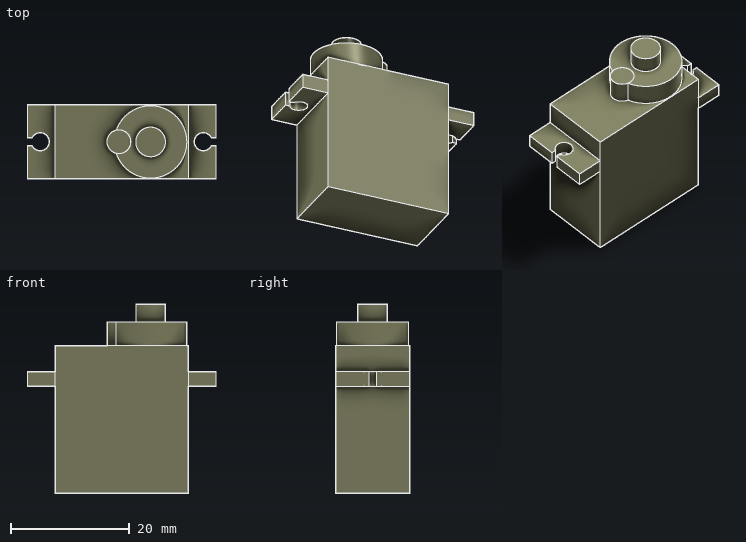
import cadquery as cq


overall_length = 31.8
case_length = 22.42
case_width = 12.5
case_height = 24.88

ear_length = (overall_length - case_length) / 2
ear_thickness = 2.5
ear_bottom = 18.0
screw_hole_diameter = 3.0
screw_hole_inset = 2.17
screw_slot_width = 1.3

housing_diameter = 12.2
housing_height = 4.0
housing_end_gap = 0.25
housing_y = -0.04
housing_x = case_length / 2 - housing_end_gap - housing_diameter / 2
housing_top = case_height + housing_height

boss_diameter = 4.0
boss_offset = 5.34
boss_x = housing_x - boss_offset

shaft_diameter = 5.0
shaft_height = 3.0


def upright_cylinder(diameter, height, x, bottom, y=0):
    """Cylinder along Z with its axis at (x, y)."""
    return cq.Workplane("XY", origin=(x, y, bottom)).circle(diameter / 2).extrude(height)


def make_case():
    return cq.Workplane("XY").box(case_length, case_width, case_height, centered=(True, True, False))


def make_ear(side):
    """Mounting ear on the +X (side = 1) or -X (side = -1) end, with an open keyhole."""
    inner_x = side * case_length / 2
    free_x = inner_x + side * ear_length
    hole_x = free_x - side * screw_hole_inset
    base = cq.Workplane("XY", origin=(0, 0, ear_bottom))
    plate = base.center((inner_x + free_x) / 2, 0).rect(ear_length, case_width).extrude(ear_thickness)
    hole = upright_cylinder(screw_hole_diameter, ear_thickness, hole_x, ear_bottom)
    slot = (
        base.center((hole_x + free_x) / 2, 0)
        .rect(screw_hole_inset, screw_slot_width)
        .extrude(ear_thickness)
    )
    return plate.cut(hole).cut(slot)


def make_idler_boss():
    return upright_cylinder(boss_diameter, housing_height, boss_x, case_height)


def make_gear_housing():
    """Round housing with a matching recess for the idler boss."""
    drum = upright_cylinder(housing_diameter, housing_height, housing_x, case_height, housing_y)
    return drum.cut(make_idler_boss())


def make_output_shaft():
    return upright_cylinder(shaft_diameter, shaft_height, housing_x, housing_top, housing_y)


case = make_case()
ears = [make_ear(side) for side in (-1, 1)]
gear_housing = make_gear_housing()
idler_boss = make_idler_boss()
output_shaft = make_output_shaft()

result = cq.Compound.makeCompound(
    [
        case.val(),
        *[ear.val() for ear in ears],
        gear_housing.val(),
        idler_boss.val(),
        output_shaft.val(),
    ]
)